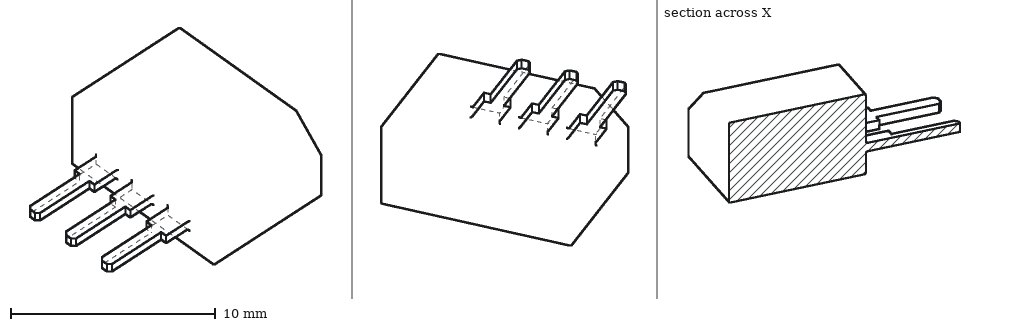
import cadquery as cq

BODY_LENGTH = 10.1
BODY_DEPTH = 7.3
BODY_HEIGHT = 4.5
CORNER_CUT = 1.8
EDGE_RADIUS = 0.1

PIN_COUNT = 3
PIN_PITCH = 2.54
PIN_REACH = 5.0
PIN_THICKNESS = 0.5
PIN_CENTRE_Z = 1.5
SHOULDER_WIDTH = 1.4
SHOULDER_REACH = 1.5
BLADE_WIDTH = 0.7
TIP_CHAMFER = BLADE_WIDTH / 4
ROOT_FILLET = 0.1

PIN_EMBED = 0.5


def make_body():
    """Block with its upper +X corner cut off, all edges rounded; -Y face at Y = 0."""
    block = cq.Workplane("XY").box(BODY_LENGTH, BODY_DEPTH, BODY_HEIGHT, centered=(True, False, False))
    return block.edges(">X and >Z").chamfer(CORNER_CUT).edges().fillet(EDGE_RADIUS)


def make_pin(centre_x):
    """Flat pin: wide shoulder at the body, then a narrow blade with a chamfered tip."""
    blade = (
        cq.Workplane("XY")
        .box(BLADE_WIDTH, PIN_REACH, PIN_THICKNESS)
        .edges("<Y and |Z")
        .chamfer(TIP_CHAMFER)
        .translate((0, -PIN_REACH / 2, 0))
    )
    shoulder_length = SHOULDER_REACH + PIN_EMBED
    shoulder = (
        cq.Workplane("XY")
        .box(SHOULDER_WIDTH, shoulder_length, PIN_THICKNESS)
        .translate((0, PIN_EMBED - shoulder_length / 2, 0))
    )
    return shoulder.union(blade).translate((centre_x, 0, PIN_CENTRE_Z))


def pin_root_selector(centre_x):
    """Thin box around the edges where a shoulder meets the -Y face."""
    margin = ROOT_FILLET
    half_width = SHOULDER_WIDTH / 2 + margin
    half_thickness = PIN_THICKNESS / 2 + margin
    return cq.selectors.BoxSelector(
        (centre_x - half_width, -margin, PIN_CENTRE_Z - half_thickness),
        (centre_x + half_width, margin, PIN_CENTRE_Z + half_thickness),
    )


pin_centres = [(i - (PIN_COUNT - 1) / 2) * PIN_PITCH for i in range(PIN_COUNT)]

result = make_body()
for pin_x in pin_centres:
    result = result.union(make_pin(pin_x))
for pin_x in pin_centres:
    result = result.edges(pin_root_selector(pin_x)).fillet(ROOT_FILLET)